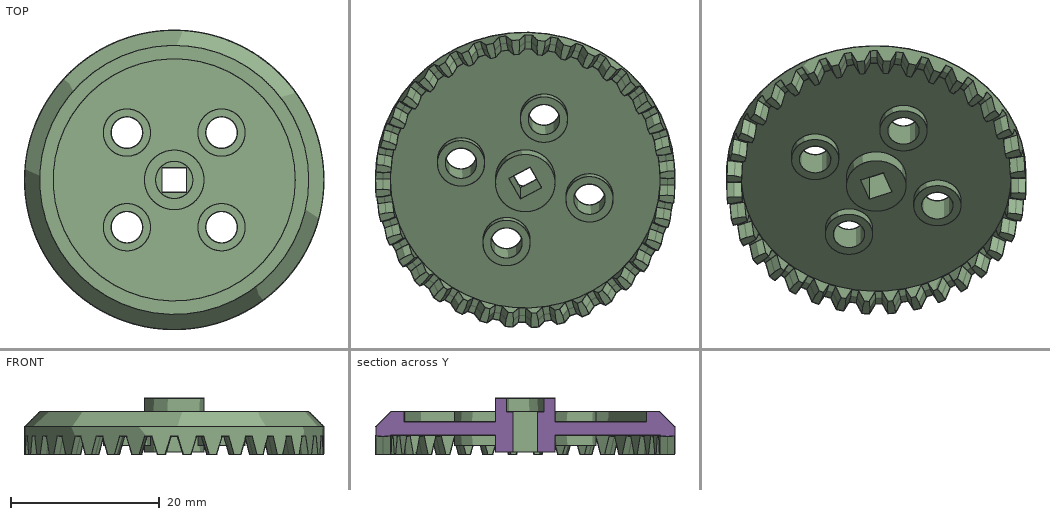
import cadquery as cq

total_height = 7.59
rim_top = 5.8
bevel_height = 2.05
web_bottom = 2.6
web_top = 4.45
post_bottom = 1.2
post_top = rim_top
hub_bottom = 0.35

outer_radius = 20.105
rim_top_radius = outer_radius - bevel_height
rim_inner_radius = 16.25
tooth_ring_inner_radius = 18.1

tooth_count = 36
gap_height = 2.5
gap_mouth_width = 2.5
gap_root_width = 0.95
crown_relief = 0.08
crown_radius = (tooth_ring_inner_radius + outer_radius) / 2
gap_end_clearance = 0.2

hub_radius = 4.0
counterbore_radius = 2.5
counterbore_depth = 1.8
axle_width = 3.25

post_offset = 6.35
post_radius = 3.175
post_hole_radius = 2.1


def cylinder(radius, bottom, top):
    """Upright cylinder on the Z axis between two heights."""
    return cq.Workplane("XY").workplane(offset=bottom).circle(radius).extrude(top - bottom)


def wheel_body():
    """Revolved bevelled rim, web and hollow skirt that carries the teeth."""
    profile = [
        (0, web_bottom),
        (tooth_ring_inner_radius, web_bottom),
        (tooth_ring_inner_radius, 0),
        (outer_radius, 0),
        (outer_radius, rim_top - bevel_height),
        (rim_top_radius, rim_top),
        (rim_inner_radius, rim_top),
        (rim_inner_radius, web_top),
        (0, web_top),
    ]
    return cq.Workplane("XZ").polyline(profile).close().revolve(360, (0, 0, 0), (0, 1, 0))


def gap_section(radius, inset):
    """Trapezoidal gap outline at a radius, drawn in sideways and downwards by the inset."""
    root_height = gap_height - inset
    flank_slope = (gap_mouth_width - gap_root_width) / 2 / gap_height
    half_mouth = gap_mouth_width / 2 - inset
    half_root = half_mouth - flank_slope * root_height
    corners = [
        cq.Vector(radius, -half_mouth, 0),
        cq.Vector(radius, half_mouth, 0),
        cq.Vector(radius, half_root, root_height),
        cq.Vector(radius, -half_root, root_height),
    ]
    return cq.Wire.makePolygon(corners, close=True)


def tooth_gaps():
    """All the gaps between neighbouring teeth, each narrowest at the middle of the tooth length."""
    waist = gap_section(crown_radius, crown_relief)
    half_length = outer_radius - crown_radius
    reach = half_length + gap_end_clearance
    end_inset = crown_relief * (1 - reach / half_length)
    inner_end = gap_section(crown_radius - reach, end_inset)
    outer_end = gap_section(crown_radius + reach, end_inset)
    inner_half = cq.Solid.makeLoft([inner_end, waist], True)
    outer_half = cq.Solid.makeLoft([waist, outer_end], True)
    gap = inner_half.fuse(outer_half)
    pitch_angle = 360 / tooth_count
    gaps = [gap.rotate((0, 0, 0), (0, 0, 1), i * pitch_angle) for i in range(tooth_count)]
    return cq.Workplane(cq.Compound.makeCompound(gaps))


def at_posts(shape):
    """Copies of a centred shape at the four post positions."""
    copies = [
        shape.val().translate((x * post_offset, y * post_offset, 0))
        for x in (-1, 1)
        for y in (-1, 1)
    ]
    return cq.Workplane(cq.Compound.makeCompound(copies))


def axle_hole():
    """Square through hole with a round counterbore at the top."""
    square = (
        cq.Workplane("XY")
        .workplane(offset=hub_bottom)
        .rect(axle_width, axle_width)
        .extrude(total_height - hub_bottom)
    )
    counterbore = cylinder(counterbore_radius, total_height - counterbore_depth, total_height)
    return square.union(counterbore)


result = (
    wheel_body()
    .cut(tooth_gaps())
    .union(at_posts(cylinder(post_radius, post_bottom, post_top)))
    .union(cylinder(hub_radius, hub_bottom, total_height))
    .cut(at_posts(cylinder(post_hole_radius, post_bottom, post_top)))
    .cut(axle_hole())
)